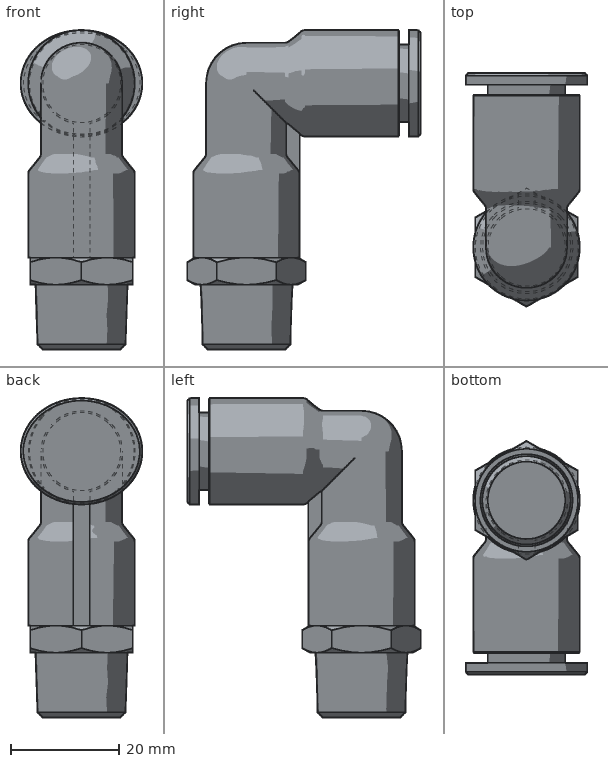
import cadquery as cq
import math

elbow_height = 49.2
thread_length = 12.0
thread_end_radius = 8.15
thread_taper = 1 / 16
thread_chamfer = 1.0
hex_across_flats = 19.0
hex_height = 5.0
hex_edge_angle = 30.0
hex_bevel_radius = 9.5

arm_radius = 7.5
body_radius = 9.85
shoulder_blend = 1.0
stem_shoulder_start = 13.4
socket_shoulder_start = 7.5
shoulder_length = 2.9
web_thickness = 3.0

socket_length = 28.2
socket_edge_chamfer = 0.2
ring_end = 32.2
ring_thickness = 2.2
ring_width = 22.5
ring_height = 2 * body_radius
ring_edge_chamfer = 0.5
ring_neck_radius = 7.2

hex_top = thread_length + hex_height
elbow_rise = elbow_height - hex_top


def shouldered_arm(shoulder_start, length):
    """Solid arm along +Z from the elbow centre: narrow, conical shoulder, wide body."""
    shoulder_end = shoulder_start + shoulder_length
    arm = (
        cq.Workplane("XZ")
        .moveTo(0, 0)
        .lineTo(arm_radius, 0)
        .lineTo(arm_radius, shoulder_start)
        .lineTo(body_radius, shoulder_end)
        .lineTo(body_radius, length)
        .lineTo(0, length)
        .close()
        .revolve(360, (0, 0, 0), (0, 1, 0))
    )
    margin = shoulder_blend / 2
    reach = body_radius + margin
    shoulder_edges = cq.selectors.BoxSelector(
        (-reach, -reach, shoulder_start - margin),
        (reach, reach, shoulder_end + margin),
        boundingbox=True,
    )
    return arm.edges(shoulder_edges).fillet(shoulder_blend)


def mitred_elbow():
    """Stem body and socket body meeting on a 45 degree mitre under a ball corner."""
    stem = shouldered_arm(stem_shoulder_start, elbow_rise)
    stem = stem.rotate((0, 0, 0), (1, 0, 0), 180)
    socket = shouldered_arm(socket_shoulder_start, socket_length)
    socket = socket.faces(">Z").chamfer(socket_edge_chamfer)
    socket = socket.rotate((0, 0, 0), (1, 0, 0), -90)
    ball = cq.Workplane("XY").sphere(arm_radius)
    return stem.union(socket).union(ball).translate((0, 0, elbow_height))


def corner_web():
    """Thin plate filling the inside corner between the two arms."""
    web = cq.Workplane("XY").box(
        web_thickness, body_radius, elbow_rise, centered=(True, False, False)
    )
    return web.translate((0, 0, hex_top))


def hex_collar():
    """Hexagon with corners on the Y axis, bevelled at the top and bottom corners."""
    corner_radius = hex_across_flats / 2 / math.cos(math.radians(180 / 6))
    bevel_height = (corner_radius - hex_bevel_radius) * math.tan(math.radians(hex_edge_angle))
    prism = (
        cq.Workplane("XY")
        .polygon(6, 2 * corner_radius)
        .extrude(hex_height)
        .rotate((0, 0, 0), (0, 0, 1), 90)
    )
    bevel = (
        cq.Workplane("XZ")
        .moveTo(0, 0)
        .lineTo(hex_bevel_radius, 0)
        .lineTo(corner_radius, bevel_height)
        .lineTo(corner_radius, hex_height - bevel_height)
        .lineTo(hex_bevel_radius, hex_height)
        .lineTo(0, hex_height)
        .close()
        .revolve(360, (0, 0, 0), (0, 1, 0))
    )
    return prism.intersect(bevel).translate((0, 0, thread_length))


def tapered_thread():
    """Plain cone standing for the taper pipe thread, chamfered at its free end."""
    thread_top_radius = thread_end_radius + thread_length * thread_taper / 2
    return (
        cq.Workplane("XZ")
        .moveTo(0, 0)
        .lineTo(thread_end_radius - thread_chamfer, 0)
        .lineTo(thread_end_radius, thread_chamfer)
        .lineTo(thread_top_radius, thread_length)
        .lineTo(0, thread_length)
        .close()
        .revolve(360, (0, 0, 0), (0, 1, 0))
    )


def release_ring():
    """Oval push ring on a round neck at the mouth of the socket."""
    ring_start = ring_end - ring_thickness
    neck = cq.Workplane("XY").workplane(offset=socket_length).circle(ring_neck_radius)
    neck = neck.extrude(ring_start - socket_length)
    ring = (
        cq.Workplane("XY")
        .workplane(offset=ring_start)
        .ellipse(ring_width / 2, ring_height / 2)
        .extrude(ring_thickness)
        .faces(">Z")
        .chamfer(ring_edge_chamfer)
    )
    return neck.union(ring).rotate((0, 0, 0), (1, 0, 0), -90).translate((0, 0, elbow_height))


result = (
    mitred_elbow()
    .union(corner_web())
    .union(hex_collar())
    .union(tapered_thread())
    .union(release_ring())
)